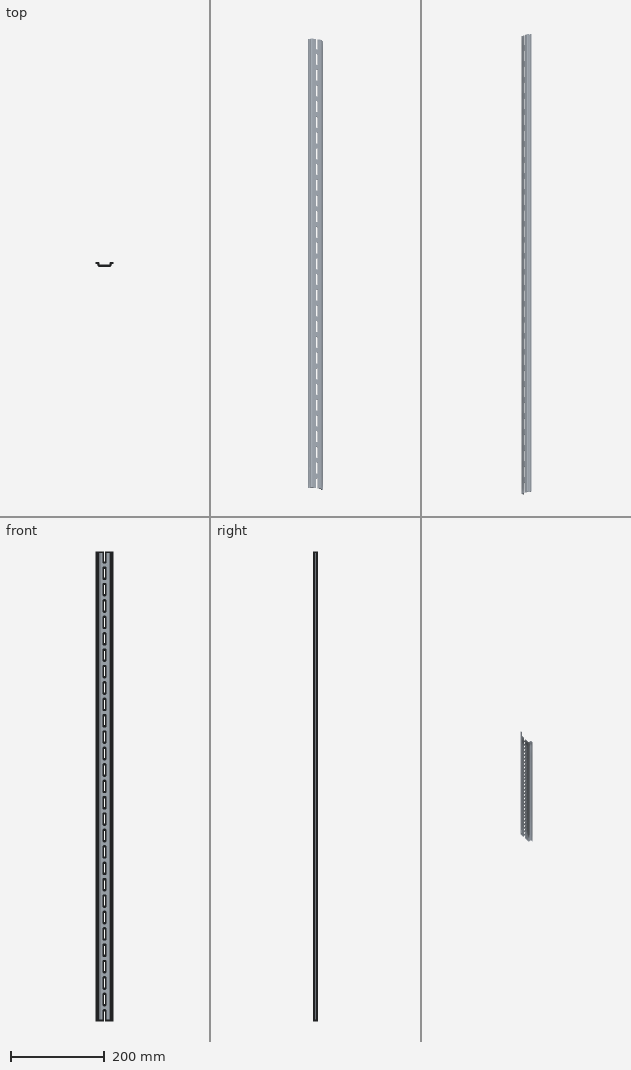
import cadquery as cq

rail_length = 1000.0
rail_width = 35.0
rail_height = 7.3
channel_width = 27.0
sheet = 1.5
inner_bend = 1.5
outer_bend = inner_bend + sheet

slot_length = 25.0
slot_width = 4.5
slot_pitch = 35.0
slot_count = 29

half_width = rail_width / 2
wall_outside = channel_width / 2
wall_inside = wall_outside - sheet
lip_underside = rail_height - sheet
web_flat = wall_outside - outer_bend
lip_flat = wall_outside + inner_bend


def half_section():
    """Right half of the cross-section: web, wall and lip joined by concentric bends."""
    return (
        cq.Workplane("XY")
        .lineTo(web_flat, 0)
        .radiusArc((wall_outside, outer_bend), -outer_bend)
        .lineTo(wall_outside, lip_underside - inner_bend)
        .radiusArc((lip_flat, lip_underside), inner_bend)
        .lineTo(half_width, lip_underside)
        .lineTo(half_width, rail_height)
        .lineTo(lip_flat, rail_height)
        .radiusArc((wall_inside, rail_height - outer_bend), -outer_bend)
        .lineTo(wall_inside, outer_bend)
        .radiusArc((web_flat, sheet), inner_bend)
        .lineTo(0, sheet)
    )


def rail_body():
    """Full cross-section swept straight along the rail."""
    return half_section().mirrorY().extrude(rail_length)


def web_slots():
    """Slot cutters centred on the rail; the first and last run out through the ends."""
    first_centre = (rail_length - (slot_count - 1) * slot_pitch) / 2
    centres = [(0, first_centre + i * slot_pitch) for i in range(slot_count)]
    return (
        cq.Workplane("XZ")
        .pushPoints(centres)
        .slot2D(slot_length, slot_width, 90)
        .extrude(-sheet)
    )


result = rail_body().cut(web_slots())